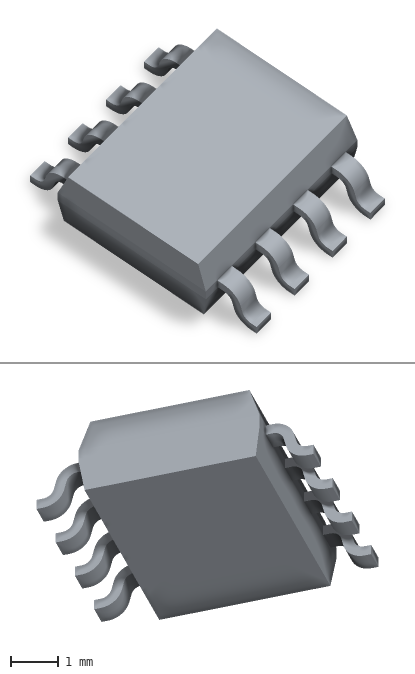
import cadquery as cq
import math


lead_span = 6.2
body_length = 5.08
body_width = 4.055
body_height = 1.75

belt_height = 0.285
top_inset_x = 0.25
top_inset_y = 0.05
bottom_inset_x = 0.11
bottom_inset_y = 0.07
mid_height = body_height / 2
belt_bottom = mid_height - belt_height / 2
belt_top = mid_height + belt_height / 2

leads_per_side = 4
lead_pitch = 1.27
lead_width = 0.485
lead_thickness = 0.24
shoulder_length = 0.16
inner_radius = 0.25
bend_angle = 75.5
outer_radius = inner_radius + lead_thickness
middle_radius = inner_radius + lead_thickness / 2
first_lead_y = (leads_per_side - 1) * lead_pitch / 2

dot_diameter = 0.205
dot_depth = 0.05
dot_x = -1.32
dot_y = first_lead_y


def tapered_block(bottom_z, bottom_size, top_z, top_size):
    """Straight-sided block between two centred rectangles."""
    return (
        cq.Workplane("XY", origin=(0, 0, bottom_z))
        .rect(*bottom_size)
        .workplane(offset=top_z - bottom_z)
        .rect(*top_size)
        .loft(ruled=True, combine=True)
    )


def make_dot():
    """Disc whose top is level with the top of the housing."""
    dot_origin = (dot_x, dot_y, body_height - dot_depth)
    return cq.Workplane("XY", origin=dot_origin).circle(dot_diameter / 2).extrude(dot_depth)


def make_housing(dot):
    """Belt with a tapered block above and below, and a recess for the dot."""
    belt_size = (body_width, body_length)
    bottom_size = (body_width - 2 * bottom_inset_x, body_length - 2 * bottom_inset_y)
    top_size = (body_width - 2 * top_inset_x, body_length - 2 * top_inset_y)
    lower = tapered_block(0, bottom_size, belt_bottom, belt_size)
    belt = tapered_block(belt_bottom, belt_size, belt_top, belt_size)
    upper = tapered_block(belt_top, belt_size, body_height, top_size)
    return lower.union(belt).union(upper).cut(dot)


def around(center, radius, degrees):
    """Point at an angle on a circle."""
    angle = math.radians(degrees)
    return (center[0] + radius * math.cos(angle), center[1] + radius * math.sin(angle))


def make_lead():
    """Gull-wing lead on the +X side at Y = 0, butting against the belt at mid height."""
    turn = math.radians(bend_angle)
    drop = mid_height - lead_thickness / 2
    slope_length = (drop - 2 * middle_radius * (1 - math.cos(turn))) / math.sin(turn)
    run = 2 * middle_radius * math.sin(turn) + slope_length * math.cos(turn)

    body_x = body_width / 2
    tip_x = lead_span / 2
    shoulder_top = mid_height + lead_thickness / 2
    shoulder_bottom = mid_height - lead_thickness / 2
    upper_center = (body_x + shoulder_length, mid_height - middle_radius)
    lower_center = (upper_center[0] + run, outer_radius)

    upper_middle = 90 - bend_angle / 2
    upper_end = 90 - bend_angle
    lower_middle = 270 - bend_angle / 2
    lower_end = 270 - bend_angle

    profile = (
        cq.Workplane("XZ", origin=(0, lead_width / 2, 0))
        .moveTo(body_x, shoulder_top)
        .lineTo(upper_center[0], shoulder_top)
        .threePointArc(around(upper_center, outer_radius, upper_middle),
                       around(upper_center, outer_radius, upper_end))
        .lineTo(*around(lower_center, inner_radius, lower_end))
        .threePointArc(around(lower_center, inner_radius, lower_middle),
                       (lower_center[0], lead_thickness))
        .lineTo(tip_x, lead_thickness)
        .lineTo(tip_x, 0)
        .lineTo(lower_center[0], 0)
        .threePointArc(around(lower_center, outer_radius, lower_middle),
                       around(lower_center, outer_radius, lower_end))
        .lineTo(*around(upper_center, inner_radius, upper_end))
        .threePointArc(around(upper_center, inner_radius, upper_middle),
                       (upper_center[0], shoulder_bottom))
        .lineTo(body_x, shoulder_bottom)
        .close()
    )
    return profile.extrude(lead_width)


def make_leads():
    """One row of leads on each long side of the housing."""
    right_lead = make_lead()
    left_lead = right_lead.rotate((0, 0, 0), (0, 0, 1), 180)
    leads = []
    for lead in (left_lead, right_lead):
        for index in range(leads_per_side):
            lead_y = first_lead_y - index * lead_pitch
            leads.append(lead.translate((0, lead_y, 0)).val())
    return leads


pin_one_dot = make_dot()
housing = make_housing(pin_one_dot)
leads = make_leads()

result = cq.Compound.makeCompound([housing.val(), *leads, pin_one_dot.val()])